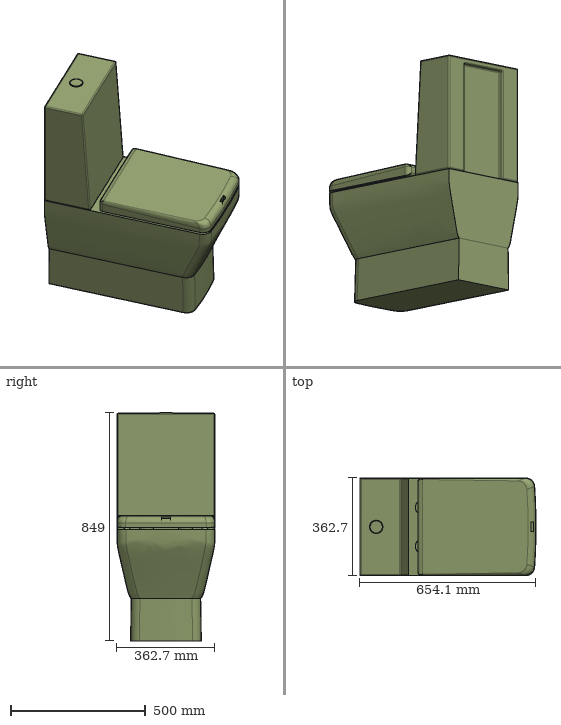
import cadquery as cq
import math

width = 362.5
length = 654.0
height = 849.0
half_width = width / 2
tolerance = 0.1
rim_z = 415.0

front_bow = 8.0
pan_corner_radius = 36.0
base_top_z = 159.0
base_floor_half = 132.0
base_top_half = 129.0
base_floor_length = 571.0
base_top_length = 568.0
bowl_sections = [
    (base_top_z, base_top_half, base_top_length),
    (182.5, 141.0, 577.0),
    (212.0, 148.5, 589.0),
    (246.0, 156.0, 604.5),
    (289.0, 165.5, 623.0),
    (327.0, 175.0, 640.0),
    (348.0, 179.0, 649.0),
    (365.0, half_width, 653.0),
    (378.0, half_width, length),
    (390.5, half_width, length),
    (403.0, half_width, length),
    (rim_z, half_width, length),
]

button_height = 2.5
cistern_top_z = height - button_height
cistern_top_length = 152.0
cistern_bottom_length = 181.0
cistern_edge_radius = 5.0
recess_width = 200.0
recess_top_z = 826.0
recess_depth = 19.0
recess_edge_radius = 4.0

button_x = 60.0
button_radius = 25.0
button_chamfer = 2.0

lid_gap = 8.0
lid_bottom_z = rim_z + lid_gap
lid_back_x = 215.0
lid_corner_radius = 34.0
lid_back_corner_radius = 16.0
skirt_back_z = 457.0
skirt_front_z = 439.0
lid_top_back_z = 468.0
lid_top_front_z = 463.0
top_back_inset = 5.0
top_side_inset = 11.0
top_front_inset = 29.0
back_bottom_radius = 10.0
back_top_run = 21.0
back_top_drop = 13.0
notch_x = 640.0
notch_length = 9.0
notch_width = 35.0
notch_floor_z = 446.5

seat_back_x = 242.0
seat_wall = 13.0
seat_thickness = 13.0
hinge_x = 232.0
hinge_y = 72.0
hinge_radius = 26.0
bumper_xs = (362.0, 542.5)
bumper_y = 144.0
bumper_foot_radius = 12.0
bumper_top_radius = 8.5


def plan_outline(back_x, front_x, back_half, front_half, back_radius, front_radius):
    """Wire at Z = 0: straight back and sides, bowed front; a zero back radius leaves square corners."""
    side_x = front_x - front_bow
    back_right = cq.Vector(back_x, -back_half)
    front_right = cq.Vector(side_x, -front_half)
    front_left = cq.Vector(side_x, front_half)
    back_left = cq.Vector(back_x, back_half)
    wire = cq.Wire.assembleEdges([
        cq.Edge.makeLine(back_right, front_right),
        cq.Edge.makeThreePointArc(front_right, cq.Vector(front_x, 0), front_left),
        cq.Edge.makeLine(front_left, back_left),
        cq.Edge.makeLine(back_left, back_right),
    ])
    middle_x = (back_x + front_x) / 2
    wire = wire.fillet2D(front_radius, [v for v in wire.Vertices() if v.X > middle_x])
    if back_radius > 0:
        wire = wire.fillet2D(back_radius, [v for v in wire.Vertices() if v.X < back_x + tolerance])
    return wire


def pan_section(z, half, front_x):
    outline = plan_outline(0, front_x, half, half, 0, pan_corner_radius)
    return outline.translate(cq.Vector(0, 0, z))


def make_pan():
    """One-piece pan: a nearly upright base with the bowl flaring out above it."""
    base = cq.Solid.makeLoft([
        pan_section(0, base_floor_half, base_floor_length),
        pan_section(base_top_z, base_top_half, base_top_length),
    ], True)
    bowl = cq.Solid.makeLoft([pan_section(*section) for section in bowl_sections])
    return cq.Workplane(base).union(cq.Workplane(bowl), clean=False)


def make_cistern():
    """Tank with a sloping front and a shallow recess up its back, open at the bottom."""
    tank = (
        cq.Workplane("XZ", origin=(0, half_width, 0))
        .moveTo(0, rim_z)
        .lineTo(cistern_bottom_length, rim_z)
        .lineTo(cistern_top_length, cistern_top_z)
        .lineTo(0, cistern_top_z)
        .close()
        .extrude(width)
        .edges("not (<Z and >X)").fillet(cistern_edge_radius)
    )
    recess = (
        cq.Workplane("YZ")
        .rect(recess_width, 2 * (recess_top_z - rim_z))
        .extrude(recess_depth)
        .translate((0, 0, rim_z))
        .edges("|X or >X").fillet(recess_edge_radius)
    )
    mouth = cq.selectors.BoxSelector(
        (-tolerance, -recess_width, rim_z + cistern_edge_radius),
        (tolerance, recess_width, recess_top_z + tolerance),
    )
    return tank.cut(recess).edges(mouth).fillet(recess_edge_radius)


def make_button():
    return (
        cq.Workplane("XY", origin=(button_x, 0, cistern_top_z))
        .circle(button_radius)
        .extrude(button_height)
        .faces(">Z").chamfer(button_chamfer)
    )


def tilt(outline, back_z, front_z):
    """Raise an outline and slope it from back_z at the lid's back to front_z at its front."""
    angle = math.degrees(math.atan2(back_z - front_z, length - lid_back_x))
    pivot = cq.Vector(lid_back_x, 0, 0)
    return outline.rotate(pivot, pivot + cq.Vector(0, 8.5, 0), angle).translate(cq.Vector(0, 0, back_z))


def crown_section(rise, inset):
    """Lid outline between the skirt top (rise 0, inset 0) and the flat top (rise 1, inset 1)."""
    outline = plan_outline(
        lid_back_x,
        length - inset * top_front_inset,
        half_width - inset * top_back_inset,
        half_width - inset * top_side_inset,
        lid_back_corner_radius,
        lid_corner_radius,
    )
    back_z = skirt_back_z + rise * (lid_top_back_z - skirt_back_z)
    front_z = skirt_front_z + rise * (lid_top_front_z - skirt_front_z)
    return tilt(outline, back_z, front_z)


def make_lid_back_profile():
    """Block whose back end has the lid's rounded back profile."""
    return (
        cq.Workplane("XZ", origin=(0, half_width, 0))
        .moveTo(length, lid_bottom_z)
        .lineTo(lid_back_x + back_bottom_radius, lid_bottom_z)
        .radiusArc((lid_back_x, lid_bottom_z + back_bottom_radius), back_bottom_radius)
        .lineTo(lid_back_x, lid_top_back_z - back_top_drop)
        .ellipseArc(back_top_run, back_top_drop, 90, 180, sense=-1, startAtCurrent=True)
        .lineTo(length, lid_top_back_z)
        .close()
        .extrude(width)
    )


def make_seat_plate():
    outline = plan_outline(
        seat_back_x,
        length - seat_wall,
        half_width - seat_wall,
        half_width - seat_wall,
        0,
        lid_corner_radius - seat_wall,
    ).translate(cq.Vector(0, 0, lid_bottom_z))
    return cq.Workplane(cq.Solid.extrudeLinear(outline, [], cq.Vector(0, 0, seat_thickness)))


def make_lid():
    """Cover with a straight skirt, a rounded crown and a recess underneath for the seat."""
    foot = plan_outline(
        lid_back_x, length, half_width, half_width, lid_back_corner_radius, lid_corner_radius
    ).translate(cq.Vector(0, 0, lid_bottom_z))
    skirt = cq.Solid.makeLoft([foot, crown_section(0, 0)], True)
    bulge = math.sin(math.radians(45))
    crown = cq.Solid.makeLoft([
        crown_section(0, 0),
        crown_section(bulge, 1 - bulge),
        crown_section(1, 1),
    ])
    front_notch = (
        cq.Workplane("XY", origin=(notch_x, 0, notch_floor_z))
        .rect(notch_length, notch_width)
        .extrude(lid_top_back_z - notch_floor_z)
    )
    return (
        cq.Workplane(skirt)
        .union(cq.Workplane(crown))
        .intersect(make_lid_back_profile())
        .cut(front_notch)
        .cut(make_seat_plate())
    )


def make_seat():
    """Seat plate inside the lid, standing on two hinge pads and four bumpers."""
    seat = make_seat_plate()
    for side in (-1, 1):
        hinge_pad = (
            cq.Workplane("XY", origin=(hinge_x, side * hinge_y, rim_z))
            .circle(hinge_radius)
            .extrude(lid_gap)
        )
        seat = seat.union(hinge_pad)
        for bumper_x in bumper_xs:
            bumper = cq.Solid.makeCone(
                bumper_foot_radius,
                bumper_top_radius,
                lid_gap,
                cq.Vector(bumper_x, side * bumper_y, rim_z),
            )
            seat = seat.union(cq.Workplane(bumper))
    return seat


pan = make_pan()
cistern = make_cistern()
button = make_button()
lid = make_lid()
seat = make_seat()

result = cq.Compound.makeCompound([pan.val(), cistern.val(), button.val(), lid.val(), seat.val()])